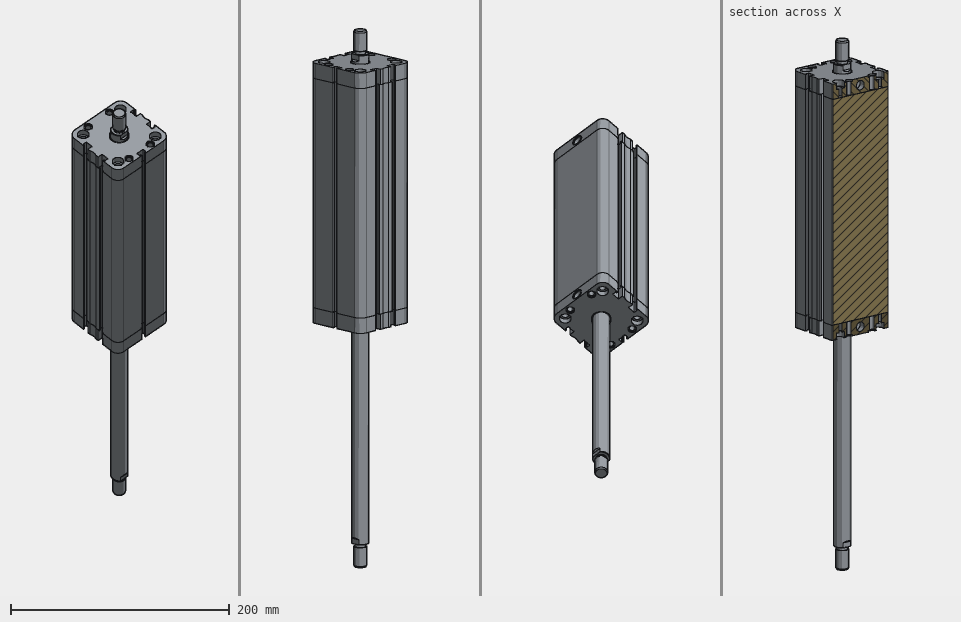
import cadquery as cq


stroke = 200.0
side = 65.5
body_length = 245.0
cap_length = 14.5
rod_reach = 30.0
corner_radius = 7.75
bore_diameter = 50.0
half_side = side / 2
barrel_length = body_length - 2 * cap_length
bottom_cap_face = -body_length

slot_offset = 10.6
slot_opening = 4.6
slot_inner_width = 7.6
slot_depth = 5.0
slot_lip = 1.5

groove_width = 7.6
groove_depth = 0.8
groove_radius = (groove_width**2 / 4 + groove_depth**2) / (2 * groove_depth)

mount_pitch = 46.5
mount_counterbore = 10.5
mount_hole = 6.65
mount_counterbore_depth = 6.0
screw_x = 27.3
screw_y = 13.3
screw_counterbore = 7.7
screw_hole = 5.2
screw_counterbore_depth = 1.5
port_recess_diameter = 10.5
port_recess_depth = 1.0
port_diameter = 8.57
port_depth = 12.0
gland_diameter = 18.0
gland_depth = 1.0

rod_diameter = 16.0
rod_chamfer = 0.5
thread_diameter = 12.0
thread_end_length = 22.0
thread_tip_diameter = 10.5
thread_chamfer_length = 1.5
relief_diameter = 10.0
relief_length = 3.0
flats_width = 13.0
flats_length = 5.0
flats_clearance = 1.0


def square_bar(length):
    """Rounded square bar with one end on Z = 0, reaching down by the length."""
    return (
        cq.Workplane("XY").rect(side, side).extrude(-length)
        .edges("|Z").fillet(corner_radius)
    )


def t_slot(length):
    """T-slot cutter that opens toward +Y, on the middle of the back face."""
    lip_y = half_side - slot_lip
    floor_y = half_side - slot_depth
    opening = cq.Workplane("XY").center(0, (half_side + floor_y) / 2).rect(slot_opening, slot_depth)
    inner = cq.Workplane("XY").center(0, (lip_y + floor_y) / 2).rect(slot_inner_width, lip_y - floor_y)
    return opening.extrude(-length).union(inner.extrude(-length))


def profile_bar(length):
    """Square bar with all the lengthwise slots and grooves."""
    bar = square_bar(length).cut(t_slot(length).rotate((0, 0, 0), (0, 0, 1), -90))
    groove_y = half_side - groove_depth + groove_radius
    for turn in (0, 180):
        groove = cq.Workplane("XY").center(0, groove_y).circle(groove_radius).extrude(-length)
        bar = bar.cut(groove.rotate((0, 0, 0), (0, 0, 1), turn))
        for x in (-slot_offset, slot_offset):
            slot = t_slot(length).translate((x, 0, 0))
            bar = bar.cut(slot.rotate((0, 0, 0), (0, 0, 1), turn))
    return bar


def make_barrel():
    barrel = profile_bar(barrel_length).translate((0, 0, -cap_length))
    return barrel.faces(">Z").workplane(origin=(0, 0, 0)).hole(bore_diameter)


def wide_slot_openings():
    """Cutters that remove the lip on the inner side of the front and back slots of a cap."""
    inner_edge = slot_offset - slot_inner_width / 2
    lip_width = (slot_inner_width - slot_opening) / 2
    lip_places = [
        (sx * (inner_edge + lip_width / 2), sy * (half_side - slot_lip / 2))
        for sx in (-1, 1)
        for sy in (-1, 1)
    ]
    return cq.Workplane("XY").pushPoints(lip_places).rect(lip_width, slot_lip).extrude(-cap_length)


def make_top_cap():
    cap = profile_bar(cap_length).cut(wide_slot_openings())
    outer_face = cap.faces(">Z").workplane(origin=(0, 0, 0))
    cap = outer_face.cboreHole(rod_diameter, gland_diameter, gland_depth)
    cap = (
        cap.faces(">Z").workplane(origin=(0, 0, 0))
        .rect(mount_pitch, mount_pitch, forConstruction=True).vertices()
        .cboreHole(mount_hole, mount_counterbore, mount_counterbore_depth)
    )
    cap = (
        cap.faces(">Z").workplane(origin=(0, 0, 0))
        .rect(2 * screw_x, 2 * screw_y, forConstruction=True).vertices()
        .cboreHole(screw_hole, screw_counterbore, screw_counterbore_depth)
    )
    return (
        cap.faces("<X").workplane(origin=(0, 0, -cap_length / 2))
        .cboreHole(port_diameter, port_recess_diameter, port_recess_depth, port_depth)
    )


def make_bottom_cap(top_cap):
    """The bottom cap is the top cap mirrored to the other end."""
    return top_cap.mirror("XY").translate((0, 0, bottom_cap_face))


def rod_end():
    """Threaded end with a relief groove, its shoulder on Z = 0 and pointing up."""
    tip_inset = (thread_diameter - thread_tip_diameter) / 2
    thread = (
        cq.Workplane("XY").workplane(offset=relief_length).circle(thread_diameter / 2)
        .extrude(thread_end_length - relief_length).faces(">Z").chamfer(thread_chamfer_length, tip_inset)
    )
    return cq.Workplane("XY").circle(relief_diameter / 2).extrude(relief_length).union(thread)


def flat_cutters():
    """Cutters for the two wrench flats below a shoulder on Z = 0, each with a 45 degree run-out."""
    flat_x = flats_width / 2
    outer_x = rod_diameter / 2 + flats_clearance
    run_out = outer_x - flat_x
    cutter = (
        cq.Workplane("XZ")
        .polyline([(flat_x, 0), (outer_x, 0), (outer_x, -flats_length - run_out), (flat_x, -flats_length)])
        .close().extrude(rod_diameter / 2, both=True)
    )
    return cutter.union(cutter.mirror("YZ"))


def make_piston_rod():
    shoulder_top = rod_reach - thread_end_length
    shoulder_bottom = bottom_cap_face - stroke - shoulder_top
    rod = (
        cq.Workplane("XY").workplane(offset=shoulder_bottom).circle(rod_diameter / 2)
        .extrude(shoulder_top - shoulder_bottom).faces("<Z or >Z").chamfer(rod_chamfer)
    )
    rod = rod.cut(flat_cutters().translate((0, 0, shoulder_top)))
    rod = rod.cut(flat_cutters().mirror("XY").translate((0, 0, shoulder_bottom)))
    rod = rod.union(rod_end().translate((0, 0, shoulder_top)))
    return rod.union(rod_end().mirror("XY").translate((0, 0, shoulder_bottom)))


barrel = make_barrel()
top_cap = make_top_cap()
bottom_cap = make_bottom_cap(top_cap)
piston_rod = make_piston_rod()

result = cq.Compound.makeCompound([barrel.val(), top_cap.val(), bottom_cap.val(), piston_rod.val()])